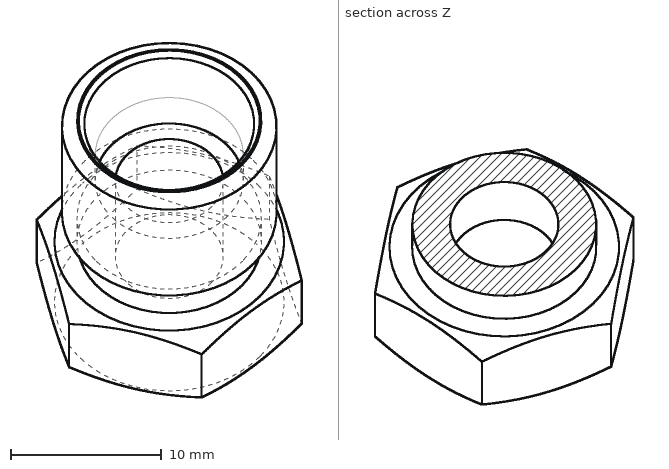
import cadquery as cq
import math

total_height = 19.05
hex_across_flats = 15.89
hex_height = 6.35

hex_face_radius = 7.62
hex_chamfer_angle = math.radians(30)

neck_radius = 6.12
neck_top = 8.85
head_radius = 7.12
head_chamfer_height = 0.57

lip_radius = 6.0
lip_depth = 0.35
taper_top_radius = 5.64
taper_end_depth = 3.6
bore_radius = 4.91
bore_depth = 6.32
pilot_radius = 3.58
pilot_depth = 14.29
drill_point_angle = math.radians(140)


def revolve_profile(points):
    """Revolve a closed (radius, height) outline about the Z axis."""
    return cq.Workplane("XZ").polyline(points).close().revolve(360, (0, 0), (0, 1))


def hexagon_base():
    """Hexagon with corners on X, its top and bottom corners turned to a cone."""
    corner_radius = hex_across_flats / math.sqrt(3)
    chamfer_height = (corner_radius - hex_face_radius) * math.tan(hex_chamfer_angle)
    prism = cq.Workplane("XY").polygon(6, 2 * corner_radius).extrude(hex_height)
    turned_blank = revolve_profile([
        (0, 0),
        (hex_face_radius, 0),
        (corner_radius, chamfer_height),
        (corner_radius, hex_height - chamfer_height),
        (hex_face_radius, hex_height),
        (0, hex_height),
    ])
    return prism.intersect(turned_blank)


def neck_and_head():
    """Neck rising from the hexagon into a head chamfered at both ends."""
    return revolve_profile([
        (0, hex_height / 2),
        (neck_radius, hex_height / 2),
        (neck_radius, neck_top),
        (head_radius, neck_top + head_chamfer_height),
        (head_radius, total_height - head_chamfer_height),
        (neck_radius, total_height),
        (0, total_height),
    ])


def stepped_bore():
    """Countersunk lip, taper, flat-bottomed bore and blind pilot hole."""
    bore_floor = total_height - bore_depth
    pilot_end = total_height - pilot_depth
    drill_tip = pilot_end - pilot_radius / math.tan(drill_point_angle / 2)
    return revolve_profile([
        (0, total_height),
        (lip_radius, total_height),
        (taper_top_radius, total_height - lip_depth),
        (bore_radius, total_height - taper_end_depth),
        (bore_radius, bore_floor),
        (pilot_radius, bore_floor),
        (pilot_radius, pilot_end),
        (0, drill_tip),
    ])


result = hexagon_base().union(neck_and_head()).cut(stepped_bore())